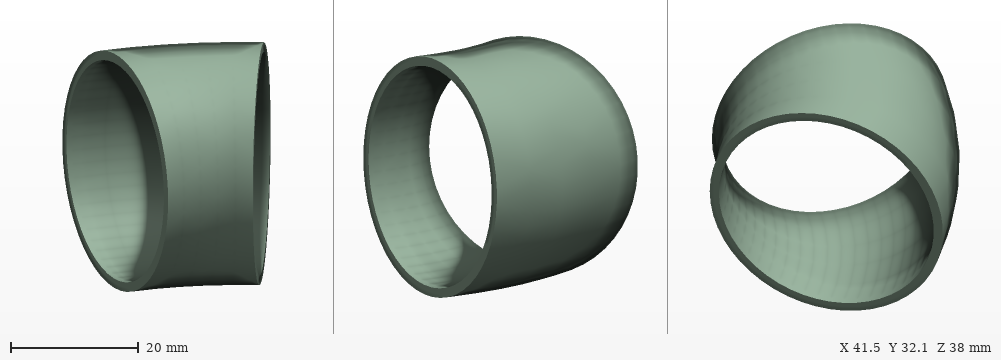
import cadquery as cq
import math

overall_length = 41.5
outer_diameter = 38.0
wall_thickness = 1.5
bend_angle = 30.0

outer_radius = outer_diameter / 2
inner_radius = outer_radius - wall_thickness

bend_cosine = math.cos(math.radians(bend_angle))
bend_radius = (overall_length - outer_radius * (1 + bend_cosine)) / (1 - bend_cosine)


def make_elbow():
    """Sweep the pipe ring from the XZ plane toward +Y about an axis parallel to Z."""
    ring = cq.Workplane("XZ").circle(outer_radius).circle(inner_radius)
    return ring.revolve(bend_angle, (bend_radius, 0, 0), (bend_radius, -1, 0))


result = make_elbow()